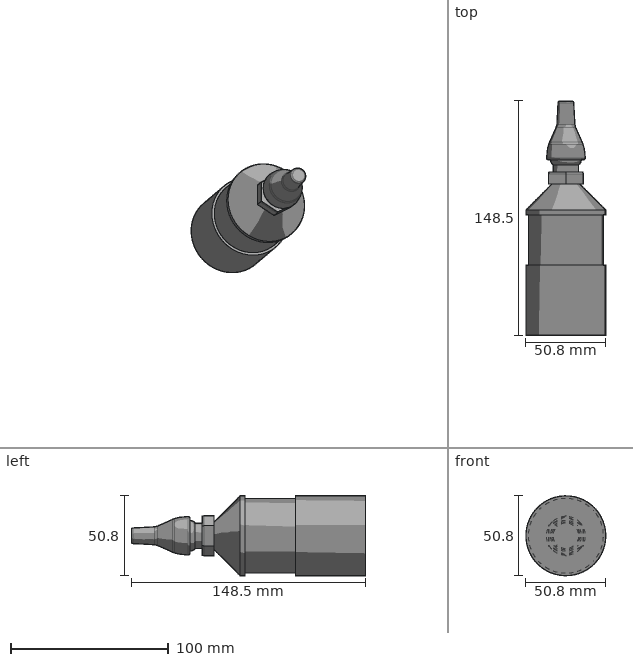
import cadquery as cq
import math

TOTAL_LENGTH = 148.5

BODY_RADIUS = 50.8 / 2
BARREL_RADIUS = 47.5 / 2
SLEEVE_LENGTH = 44.5
BARREL_LENGTH = 31.8
RIM_WIDTH = 3.1
SHOULDER_LENGTH = 16.5
SHOULDER_TOP_RADIUS = BODY_RADIUS - SHOULDER_LENGTH

HEX_ACROSS_FLATS = 22.1
HEX_WIDTH = 7.7
HEX_CHAMFER_LENGTH = 1.3
HEX_CHAMFER_INSET = 0.3

NECK_RADIUS = 16.2 / 2
NECK_LENGTH = 4.5
COLLAR_RADIUS = 9.8
COLLAR_LENGTH = 3.1
COLLAR_BULGE = 0.5
BULB_RADIUS = 12.3
BULB_EDGE_RADIUS = 1.3
BULB_CURVE_LENGTH = 8.5
BULB_CURVE_END_RADIUS = 11.0
BULB_BLEND_LENGTH = 1.5
BULB_CONE_RADIUS = 10.4
BULB_CONE_LENGTH = 9.4
TUBE_BLEND_LENGTH = 1.8
TUBE_BLEND_RADIUS = 6.2
TUBE_ROOT_RADIUS = 5.8
TUBE_END_RADIUS = 5.0
TIP_RADIUS = 4.0
TIP_LENGTH = 1.0

RIM_START = SLEEVE_LENGTH + BARREL_LENGTH
SHOULDER_START = RIM_START + RIM_WIDTH
HEX_START = SHOULDER_START + SHOULDER_LENGTH
NECK_START = HEX_START + HEX_WIDTH
COLLAR_START = NECK_START + NECK_LENGTH
BULB_START = COLLAR_START + COLLAR_LENGTH
BULB_CURVE_START = BULB_START + BULB_EDGE_RADIUS
BULB_BLEND_START = BULB_CURVE_START + BULB_CURVE_LENGTH
BULB_CONE_START = BULB_BLEND_START + BULB_BLEND_LENGTH
TUBE_BLEND_START = BULB_CONE_START + BULB_CONE_LENGTH
TUBE_START = TUBE_BLEND_START + TUBE_BLEND_LENGTH
TIP_START = TOTAL_LENGTH - TIP_LENGTH


def revolve_about_y(profile):
    """Close a half profile drawn as (radius, Y) and spin it about the Y axis."""
    return profile.close().revolve(360, (0, 0, 0), (0, 1, 0))


def make_body():
    profile = cq.Workplane("XY").polyline([
        (0, 0),
        (BODY_RADIUS, 0),
        (BODY_RADIUS, SLEEVE_LENGTH),
        (BARREL_RADIUS, SLEEVE_LENGTH),
        (BARREL_RADIUS, RIM_START),
        (BODY_RADIUS, RIM_START),
        (BODY_RADIUS, SHOULDER_START),
        (SHOULDER_TOP_RADIUS, HEX_START),
        (0, HEX_START),
    ])
    return revolve_about_y(profile)


def make_hex_nut():
    across_corners = HEX_ACROSS_FLATS / math.cos(math.radians(30))
    chamfer_angle = math.degrees(math.atan2(HEX_CHAMFER_INSET, HEX_CHAMFER_LENGTH))
    plane = cq.Plane(origin=(0, HEX_START, 0), xDir=(0, 0, 1), normal=(0, 1, 0))
    straight_width = HEX_WIDTH - HEX_CHAMFER_LENGTH
    straight = cq.Workplane(plane).polygon(6, across_corners).extrude(straight_width)
    cap = (
        cq.Workplane(plane)
        .workplane(offset=straight_width)
        .polygon(6, across_corners)
        .extrude(HEX_CHAMFER_LENGTH, taper=chamfer_angle)
    )
    return straight.union(cap)


def make_nozzle():
    profile = (
        cq.Workplane("XY")
        .moveTo(0, NECK_START)
        .lineTo(NECK_RADIUS, NECK_START)
        .lineTo(NECK_RADIUS, COLLAR_START)
        .sagittaArc((COLLAR_RADIUS, BULB_START), -COLLAR_BULGE)
        .lineTo(BULB_RADIUS - BULB_EDGE_RADIUS, BULB_START)
        .tangentArcPoint((BULB_RADIUS, BULB_CURVE_START), relative=False)
        .tangentArcPoint((BULB_CURVE_END_RADIUS, BULB_BLEND_START), relative=False)
        .lineTo(BULB_CONE_RADIUS, BULB_CONE_START)
        .lineTo(TUBE_BLEND_RADIUS, TUBE_BLEND_START)
        .lineTo(TUBE_ROOT_RADIUS, TUBE_START)
        .lineTo(TUBE_END_RADIUS, TIP_START)
        .tangentArcPoint((TIP_RADIUS, TOTAL_LENGTH), relative=False)
        .lineTo(0, TOTAL_LENGTH)
    )
    return revolve_about_y(profile)


result = make_body().union(make_hex_nut()).union(make_nozzle())